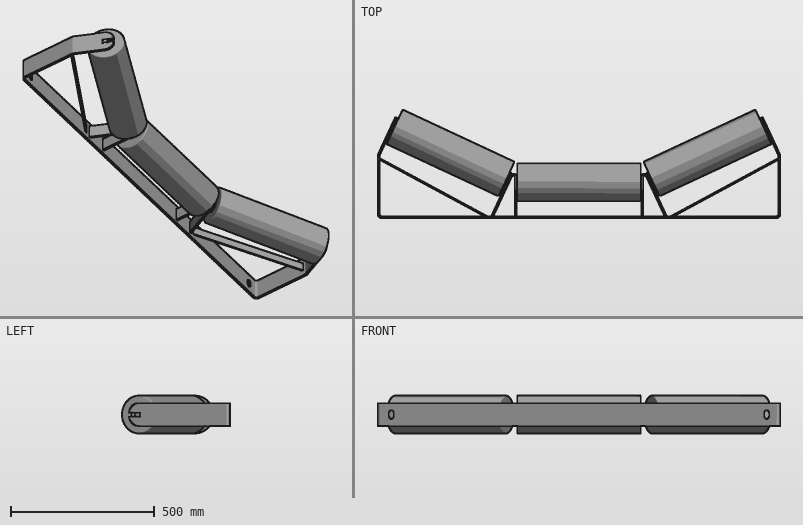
import cadquery as cq
import math


strip_thickness = 7.0
trough_angle = 25.0
tilt_sin = math.sin(math.radians(trough_angle))
tilt_cos = math.cos(math.radians(trough_angle))

frame_length = 1400.0
frame_width = 80.0
side_height = 220.0
arm_length = 145.0
arm_corner_radius = 35.0
frame_bend_radius = 14.0
mount_slot_width = 17.0
mount_slot_height = 30.0
mount_slot_inset = 48.0

roller_diameter = 133.0
roller_length = 430.0
roller_edge_radius = 4.0
hub_diameter = 55.0
shaft_diameter = 20.0
shaft_flats = 14.0
centre_roller_height = 125.0
wing_roller_x = 447.0
wing_roller_height = 227.0

bracket_face_x = 217.0
bracket_height = 154.0
bracket_width = 50.0
bracket_bend_radius = 8.0
bracket_foot_x = 305.0
slot_cut_length = 56.0

brace_thickness = 4.9
brace_width = 32.0
brace_top_height = 209.0
brace_foot_x = 319.0

base_top = strip_thickness
side_inner_x = frame_length / 2 - strip_thickness
wing_centre = (-wing_roller_x, wing_roller_height)


def unit(start, end):
    length = math.dist(start, end)
    return ((end[0] - start[0]) / length, (end[1] - start[1]) / length)


def offset_right(path, distance):
    """Open path moved sideways to its right, with mitred corners."""
    directions = [unit(a, b) for a, b in zip(path, path[1:])]
    before = [directions[0]] + directions
    after = directions + [directions[-1]]
    moved = []
    for (x, y), (ax, ay), (bx, by) in zip(path, before, after):
        scale = distance / (1 + ax * bx + ay * by)
        moved.append((x + scale * (ay + by), y - scale * (ax + bx)))
    return moved


def bent_strip(outer, width, bend_radius):
    """Strip folded along an outside path; the thickness lies to the right of the path."""
    inner = offset_right(outer, strip_thickness)
    strip = cq.Workplane("XY").polyline(outer + inner[::-1]).close().extrude(width / 2, both=True)
    for corners, radius in ((outer, bend_radius), (inner, bend_radius - strip_thickness)):
        for x, y in corners[1:-1]:
            strip = strip.edges(cq.selectors.NearestToPointSelector((x, y, 0))).fillet(radius)
    return strip


def place_on_wing(shape):
    """Move a shape built about the origin to the left wing roller's position."""
    return shape.rotate((0, 0, 0), (0, 0, 1), -trough_angle).translate((*wing_centre, 0))


def mirrored(shape):
    return shape.mirror("YZ")


def wing_axial(x, y):
    """Position of a point along the left wing roller's axis, from the roller centre."""
    return (x - wing_centre[0]) * tilt_cos - (y - wing_centre[1]) * tilt_sin


wing_arm_face = wing_axial(-frame_length / 2, side_height)
wing_bracket_face = wing_axial(-bracket_foot_x, base_top)


def shaft_slot(plate_start):
    """Cutter along local X for a shaft slot, open upwards, in a plate that starts at plate_start."""
    return (
        cq.Workplane("XY")
        .box(strip_thickness, slot_cut_length, shaft_flats, centered=(False, False, True))
        .translate((plate_start, -shaft_diameter / 2, 0))
    )


def arm_end_trim():
    """Cutter that rounds the two corners at the end of the left arm."""
    fold_along_arm = (
        (-frame_length / 2 - wing_centre[0]) * tilt_sin + (side_height - wing_centre[1]) * tilt_cos)
    end = cq.Workplane("XY").box(
        strip_thickness, frame_width, frame_width, centered=(False, False, True))
    rounded_end = end.edges("|X and >Y").fillet(arm_corner_radius)
    arm_end_start = fold_along_arm + arm_length - frame_width
    return end.cut(rounded_end).translate((wing_arm_face, arm_end_start, 0))


def make_frame():
    half = frame_length / 2
    tip_x = half - arm_length * tilt_sin
    tip_y = side_height + arm_length * tilt_cos
    right_half = [(tip_x, tip_y), (half, side_height), (half, 0)]
    left_half = [(-x, y) for x, y in right_half[::-1]]
    frame = bent_strip(right_half + left_half, frame_width, frame_bend_radius)

    for cutter in (arm_end_trim(), shaft_slot(wing_arm_face)):
        left_cutter = place_on_wing(cutter)
        frame = frame.cut(left_cutter).cut(mirrored(left_cutter))

    mount_x = half - mount_slot_inset
    mount_slots = (
        cq.Workplane("XZ")
        .pushPoints([(-mount_x, 0), (mount_x, 0)])
        .slot2D(mount_slot_height, mount_slot_width, 90)
        .extrude(-strip_thickness)
    )
    return frame.cut(mount_slots)


def make_left_bracket():
    def slope_x(y):
        return -bracket_foot_x + (y - base_top) * tilt_sin / tilt_cos

    bracket = bent_strip([
        (slope_x(-base_top), -base_top),
        (slope_x(bracket_height), bracket_height),
        (-bracket_face_x, bracket_height),
        (-bracket_face_x, -base_top),
    ], bracket_width, bracket_bend_radius)
    above_base = cq.Workplane("XY").box(
        frame_length, bracket_height, bracket_width, centered=(True, False, True)).translate((0, base_top, 0))
    centre_slot = shaft_slot(-bracket_face_x - strip_thickness).translate((0, centre_roller_height, 0))
    wing_slot = place_on_wing(shaft_slot(wing_bracket_face))
    return bracket.intersect(above_base).cut(centre_slot).cut(wing_slot)


def make_left_brace():
    run = side_inner_x - brace_foot_x
    rise = brace_top_height - base_top
    slant = math.hypot(run, rise)
    drop = brace_thickness * slant / run
    setback = brace_thickness * slant / rise
    return (
        cq.Workplane("XY")
        .polyline([
            (-side_inner_x, brace_top_height),
            (-brace_foot_x, base_top),
            (-brace_foot_x - setback, base_top),
            (-side_inner_x, brace_top_height - drop),
        ])
        .close()
        .extrude(brace_width / 2, both=True)
    )


def make_roller(left_plate_outside, right_plate_outside):
    """Roller along local X whose flatted shaft ends finish flush with its two carrying plates."""
    def bar(diameter, start, end):
        return cq.Workplane("YZ").workplane(offset=start).circle(diameter / 2).extrude(end - start)

    half = roller_length / 2
    barrel = bar(roller_diameter, -half, half).faces("<X or >X").edges().fillet(roller_edge_radius)
    hub = bar(hub_diameter, left_plate_outside + strip_thickness, right_plate_outside - strip_thickness)
    shaft_length = right_plate_outside - left_plate_outside
    flats = (
        cq.Workplane("XY")
        .box(shaft_length, shaft_diameter, shaft_flats, centered=(False, True, True))
        .translate((left_plate_outside, 0, 0))
    )
    shaft = bar(shaft_diameter, left_plate_outside, right_plate_outside).intersect(flats)
    return barrel.union(hub).union(shaft)


frame = make_frame()
left_bracket = make_left_bracket()
left_brace = make_left_brace()
centre_roller = make_roller(-bracket_face_x - strip_thickness, bracket_face_x + strip_thickness).translate(
    (0, centre_roller_height, 0))
left_roller = place_on_wing(make_roller(wing_arm_face, wing_bracket_face + strip_thickness))

bodies = [frame.val(), centre_roller.val()]
for left_body in (left_bracket, left_brace, left_roller):
    bodies += [left_body.val(), mirrored(left_body).val()]

result = cq.Compound.makeCompound(bodies)